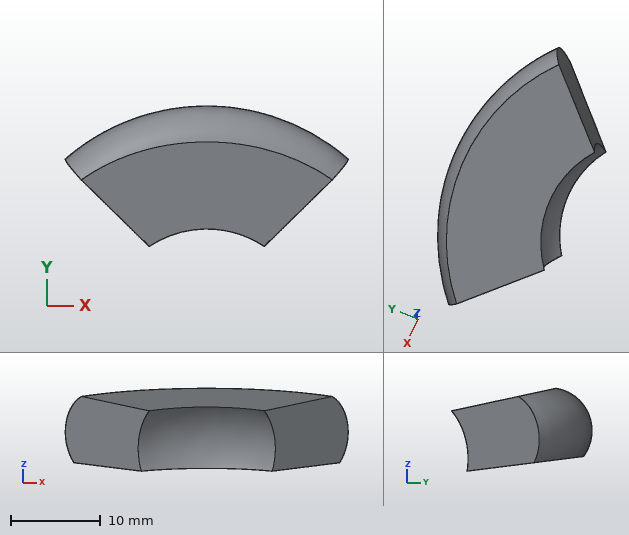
import cadquery as cq
import math

END_FACE_ANGLE = 90.0
SWEEP_AXIS_SETBACK = 2.1
HALF_TURN = 180.0
AXIS_LEAN = 7.2
TOP_SLOPE = 5.0
TOP_HEIGHT = 6.35

OUTER_RADIUS = 23.87
OUTER_ARC_RADIUS = 4.8
OUTER_ARC_HEIGHT = 3.35

INNER_RADIUS = 12.4
INNER_ARC_RADIUS = 6.5
INNER_ARC_HEIGHT = 2.5

CUTTER_SIZE = 100.0


def wall_radius(widest_radius, arc_radius, arc_height, height):
    """Radius of a wall arc at a height above the bottom face."""
    return widest_radius - arc_radius + math.sqrt(arc_radius**2 - (height - arc_height) ** 2)


def make_sweep():
    """Half ring on the +Y side of its axis, with the bottom face at Z = 0."""
    outer_foot = wall_radius(OUTER_RADIUS, OUTER_ARC_RADIUS, OUTER_ARC_HEIGHT, 0)
    inner_foot = wall_radius(INNER_RADIUS, INNER_ARC_RADIUS, INNER_ARC_HEIGHT, 0)
    crest_height = OUTER_ARC_HEIGHT + OUTER_ARC_RADIUS
    outer_crest = OUTER_RADIUS - OUTER_ARC_RADIUS
    inner_crest = wall_radius(INNER_RADIUS, INNER_ARC_RADIUS, INNER_ARC_HEIGHT, crest_height)
    return (
        cq.Workplane("XZ")
        .moveTo(inner_foot, 0)
        .lineTo(outer_foot, 0)
        .threePointArc((OUTER_RADIUS, OUTER_ARC_HEIGHT), (outer_crest, crest_height))
        .lineTo(inner_crest, crest_height)
        .threePointArc((INNER_RADIUS, INNER_ARC_HEIGHT), (inner_foot, 0))
        .close()
        .revolve(HALF_TURN, (0, 0), (0, 1))
        .translate((0, -SWEEP_AXIS_SETBACK, 0))
    )


def make_end_wedge():
    """Triangular prism opening toward +Y, whose sides form the end faces."""
    half_width = CUTTER_SIZE * math.tan(math.radians(END_FACE_ANGLE / 2))
    return (
        cq.Workplane("XY")
        .polyline([(0, 0), (half_width, CUTTER_SIZE), (-half_width, CUTTER_SIZE)])
        .close()
        .extrude(CUTTER_SIZE, both=True)
    )


def make_top_cutter():
    """Block whose sloping underside forms the top face."""
    return (
        cq.Workplane("XY")
        .box(CUTTER_SIZE, CUTTER_SIZE, CUTTER_SIZE, centered=(True, True, False))
        .rotate((0, 0, 0), (1, 0, 0), TOP_SLOPE)
        .translate((0, 0, TOP_HEIGHT))
    )


segment = make_sweep().intersect(make_end_wedge()).cut(make_top_cutter())
result = segment.rotate((0, 0, 0), (1, 0, 0), AXIS_LEAN)